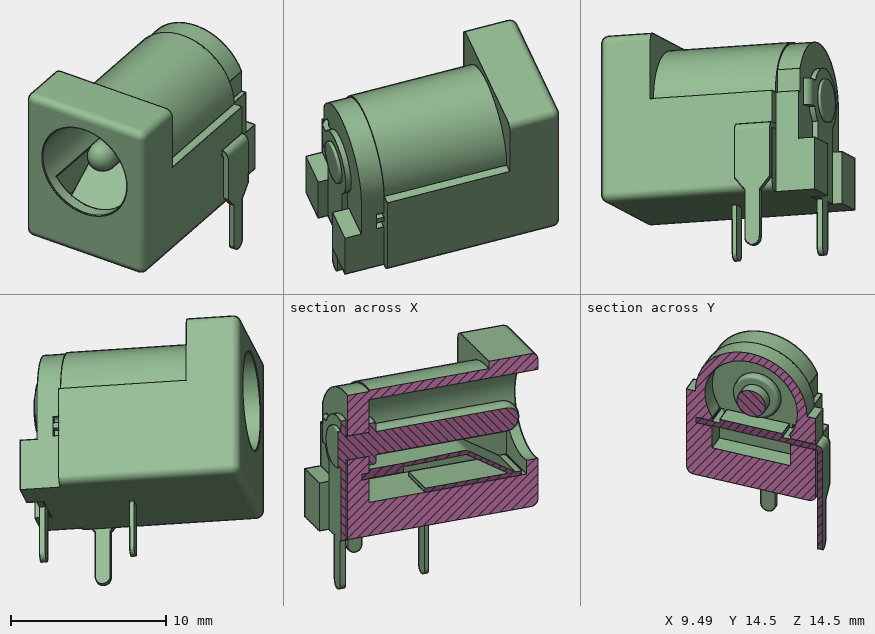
import cadquery as cq
import math


body_width = 9.0
body_top = 4.38
body_bottom = -6.52
front_block_depth = 3.48
shoulder_y = 11.83
edge_radius = 0.51
barrel_radius = 3.9

cap_radius = 3.81
cap_flat_x = 3.5
cap_rear_y = 13.37
foot_rear_y = 14.49
foot_top = -3.12
foot_slot_width = 2.81

bore_dia = 6.4
bore_depth = shoulder_y
bore_chamfer = 0.06

cavity_width = 5.42
cavity_front_y = 0.83
cavity_top = -1.8
channel_inner_x = 2.39
channel_rear_y = 12.32

side_pocket_top = -1.64
side_pocket_bottom = -2.97
side_pocket_floor_x = -3.34
side_pocket_radius = 0.26

leg_tip_z = -10.12
leg_width = 0.99
terminal_thickness = 0.38

plate_gap = 0.09
pin_dia = 2.0
pin_tip_y = 1.2
flange_dia = 3.19
flange_radius = 0.2
flange_length = 0.5
rivet_dia = 2.81
rivet_height = 0.2
rivet_radius = 0.06
plate_radius = 2.1
plate_tail_width = 2.75
arm_top = 1.02
arm_bottom = -0.72
arm_outer_x = 2.85
arm_bend_radius = 0.55
arm_front_y = 12.32

leaf_thickness = 0.29
leaf_width = 4.35
leaf_base_top = -3.83
leaf_base_front_y = 1.16
ramp_root_y = 1.61
ramp_slope = 0.64
ramp_peak_z = -1.64
ramp_bend_radius = 1.02
rear_leg_face_y = 7.93

strip_top = -2.06
strip_front_y = 9.42
side_leg_outer_x = 4.99
side_leg_bend_radius = side_leg_outer_x - body_width / 2
side_leg_shoulder_z = -5.68

plate_front_y = cap_rear_y + plate_gap
plate_rear_y = plate_front_y + terminal_thickness
strip_bottom = strip_top - terminal_thickness
leaf_base_bottom = leaf_base_top - leaf_thickness


def box(x_range, y_range, z_range):
    """Box between the given limits on each axis."""
    lengths = [high - low for low, high in (x_range, y_range, z_range)]
    corner = (x_range[0], y_range[0], z_range[0])
    return cq.Workplane("XY").box(*lengths, centered=False).translate(corner)


def centered_box(width, y_range, z_range):
    """Box of the given width, symmetric about X = 0."""
    return box((-width / 2, width / 2), y_range, z_range)


def rod(diameter, y_start, y_end):
    """Cylinder on the bore axis."""
    return cq.Workplane("XZ", origin=(0, y_start, 0)).circle(diameter / 2).extrude(y_start - y_end)


def round_ended_leg(plane, top_z):
    """Leg outline with a full-round tip, centered on a vertical plane."""
    half = leg_width / 2
    return (
        plane.moveTo(-half, top_z)
        .lineTo(-half, leg_tip_z + half)
        .threePointArc((0, leg_tip_z), (half, leg_tip_z + half))
        .lineTo(half, top_z)
        .close()
    )


def bent_sheet(plane, start, end, bend_radius):
    """L-shaped sheet outline of terminal thickness.

    Its outer side runs from start along the first axis, then turns back along the second axis to end.
    """
    start_u, outer_v = start
    outer_u, end_v = end
    inner_u = outer_u - terminal_thickness
    inner_v = outer_v - terminal_thickness
    inner_radius = bend_radius - terminal_thickness
    center_u = outer_u - bend_radius
    center_v = outer_v - bend_radius
    outer_offset = bend_radius * math.sqrt(0.5)
    inner_offset = inner_radius * math.sqrt(0.5)
    return (
        plane.moveTo(start_u, outer_v)
        .lineTo(center_u, outer_v)
        .threePointArc((center_u + outer_offset, center_v + outer_offset), (outer_u, center_v))
        .lineTo(outer_u, end_v)
        .lineTo(inner_u, end_v)
        .lineTo(inner_u, center_v)
        .threePointArc((center_u + inner_offset, center_v + inner_offset), (center_u, inner_v))
        .lineTo(start_u, inner_v)
        .close()
    )


def make_main_block():
    """Rounded box whose upper rear part is reduced to a round barrel."""
    block = centered_box(body_width, (0, shoulder_y), (body_bottom, body_top))
    block = block.edges("|Y or <Y").fillet(edge_radius)
    upper_rear = centered_box(body_width, (front_block_depth, shoulder_y), (0, body_top))
    barrel = rod(2 * barrel_radius, front_block_depth, shoulder_y)
    return block.cut(upper_rear).union(barrel)


def make_cap():
    """Arched rear cap with a flat on its upper +X side and two feet below."""
    width = 2 * cap_radius
    arch = rod(width, shoulder_y, cap_rear_y)
    flat = box((cap_flat_x, cap_radius), (shoulder_y, cap_rear_y), (0, cap_radius))
    lower = centered_box(width, (shoulder_y, cap_rear_y), (body_bottom, 0))
    feet = centered_box(width, (cap_rear_y, foot_rear_y), (body_bottom, foot_top))
    foot_slot = centered_box(foot_slot_width, (cap_rear_y, foot_rear_y), (body_bottom, foot_top))
    return arch.cut(flat).union(lower).union(feet.cut(foot_slot))


def make_side_pocket():
    """Pocket in the -X side of the cap, with rounded inner corners."""
    pocket = box(
        (-cap_radius, side_pocket_floor_x),
        (shoulder_y, channel_rear_y),
        (side_pocket_bottom, side_pocket_top),
    )
    return pocket.edges("|Y and >X").fillet(side_pocket_radius)


def make_cavity():
    """Spring space below the bore, with a channel on each side that runs on into the cap."""
    cavity = centered_box(cavity_width, (cavity_front_y, shoulder_y), (leaf_base_bottom, cavity_top))
    channel_end = (shoulder_y, channel_rear_y)
    channels = centered_box(cavity_width, channel_end, (strip_bottom, cavity_top))
    core = centered_box(2 * channel_inner_x, channel_end, (strip_bottom, cavity_top))
    return cavity.union(channels.cut(core))


def make_housing(pin, contact):
    """Housing with openings that fit the pin and the contact."""
    housing = make_main_block().union(make_cap())
    housing = housing.cut(rod(bore_dia, 0, bore_depth))
    housing = housing.faces("<Y").edges("%CIRCLE").chamfer(bore_chamfer)
    housing = housing.cut(make_cavity()).cut(make_side_pocket())
    return housing.cut(pin).cut(contact)


def make_pin_arm():
    """Arm of the rear plate, bent forward into the cap."""
    plane = cq.Workplane("XY", origin=(0, 0, arm_bottom))
    outline = bent_sheet(plane, (0, plate_rear_y), (arm_outer_x, arm_front_y), arm_bend_radius)
    return outline.extrude(arm_top - arm_bottom)


def make_center_pin():
    """Ball-ended pin riveted into a rear plate with a leg and an arm."""
    ball_y = pin_tip_y + pin_dia / 2
    ball = cq.Workplane("XY").sphere(pin_dia / 2).translate((0, ball_y, 0))
    shank = rod(pin_dia, ball_y, plate_rear_y)
    flange = rod(flange_dia, bore_depth - flange_length, bore_depth).faces("<Y").edges().fillet(flange_radius)
    rivet = rod(rivet_dia, plate_rear_y, plate_rear_y + rivet_height).faces(">Y").edges().fillet(rivet_radius)
    disc = rod(2 * plate_radius, plate_front_y, plate_rear_y)
    tail = centered_box(plate_tail_width, (plate_front_y, plate_rear_y), (body_bottom, 0))
    leg_plane = cq.Workplane("XZ", origin=(0, plate_rear_y, 0))
    leg = round_ended_leg(leg_plane, body_bottom).extrude(terminal_thickness)
    pin = ball.union(shank).union(flange).union(rivet)
    return pin.union(disc).union(tail).union(leg).union(make_pin_arm())


def make_spring_leaf():
    """Leaf that rises rearward from its base, bends at the peak and rests on the switch strip."""
    ramp_drop = leaf_thickness * math.hypot(1, ramp_slope)
    peak_y = ramp_root_y + (ramp_peak_z - leaf_base_top) / ramp_slope
    under_root_y = ramp_root_y + ramp_drop / ramp_slope
    leaf = (
        cq.Workplane("YZ", origin=(-leaf_width / 2, 0, 0))
        .moveTo(leaf_base_front_y, leaf_base_bottom)
        .lineTo(leaf_base_front_y, leaf_base_top)
        .lineTo(ramp_root_y, leaf_base_top)
        .lineTo(peak_y, ramp_peak_z)
        .lineTo(strip_front_y, strip_top + leaf_thickness)
        .lineTo(shoulder_y, strip_top + leaf_thickness)
        .lineTo(shoulder_y, strip_top)
        .lineTo(strip_front_y, strip_top)
        .lineTo(peak_y, ramp_peak_z - ramp_drop)
        .lineTo(under_root_y, leaf_base_top)
        .lineTo(rear_leg_face_y, leaf_base_top)
        .lineTo(rear_leg_face_y, leaf_base_bottom)
        .close()
        .extrude(leaf_width)
    )
    peak = cq.selectors.NearestToPointSelector((0, peak_y, ramp_peak_z))
    leaf = leaf.edges(peak).fillet(ramp_bend_radius)
    leg_plane = cq.Workplane("XZ", origin=(0, rear_leg_face_y, 0))
    return leaf.union(round_ended_leg(leg_plane, leaf_base_bottom).extrude(leaf_thickness))


def make_switch_strip():
    """Flat strip across the housing that bends down into the side leg outside the +X wall."""
    strip_width = shoulder_y - strip_front_y
    inner_x = side_leg_outer_x - terminal_thickness
    strip_plane = cq.Workplane("XZ", origin=(0, shoulder_y, 0))
    bent_strip = bent_sheet(
        strip_plane,
        (-cap_radius, strip_top),
        (side_leg_outer_x, side_leg_shoulder_z),
        side_leg_bend_radius,
    ).extrude(strip_width)
    tail = box(
        (-cap_radius, cavity_width / 2),
        (shoulder_y, channel_rear_y),
        (strip_bottom, strip_top),
    )
    middle_y = strip_front_y + strip_width / 2
    leg_plane = cq.Workplane("YZ", origin=(inner_x, middle_y, 0))
    taper = (
        leg_plane.moveTo(-strip_width / 2, side_leg_shoulder_z)
        .lineTo(strip_width / 2, side_leg_shoulder_z)
        .lineTo(leg_width / 2, body_bottom)
        .lineTo(-leg_width / 2, body_bottom)
        .close()
        .extrude(terminal_thickness)
    )
    leg = round_ended_leg(leg_plane, body_bottom).extrude(terminal_thickness)
    return bent_strip.union(tail).union(taper).union(leg)


def make_spring_contact():
    """Spring leaf joined to the switch strip that it rests on."""
    return make_spring_leaf().union(make_switch_strip())


center_pin = make_center_pin()
spring_contact = make_spring_contact()
housing = make_housing(center_pin, spring_contact)

result = cq.Compound.makeCompound([housing.val(), center_pin.val(), spring_contact.val()])